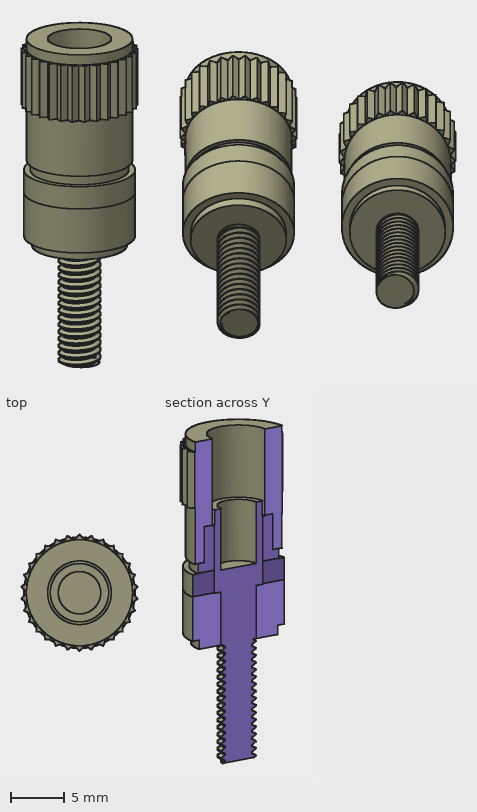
import cadquery as cq
import math


total_height = 32.0
thread_length = 11.6
spigot_height = 0.9
lower_rim_height = 4.35
upper_washer_height = 2.2
neck_height = 0.95
knurl_height = 5.5
knob_lip_height = 1.0

lower_washer_bottom = thread_length
lower_rim_bottom = lower_washer_bottom + spigot_height
washer_joint = lower_rim_bottom + lower_rim_height
neck_bottom = washer_joint + upper_washer_height
knob_bottom = neck_bottom + neck_height
knurl_top = total_height - knob_lip_height
knurl_bottom = knurl_top - knurl_height

knob_diameter = 10.0
knob_bore_diameter = 6.0
knurl_diameter = 11.0
neck_diameter = 9.3
insert_diameter = 7.8
washer_diameter = 10.5
spigot_diameter = 9.0
post_diameter = 5.5
socket_diameter = 4.0

knurl_teeth = 30

sleeve_height = 3.5
post_projection = 1.5
socket_depth = 6.0
insert_top = knob_bottom + sleeve_height
post_top = insert_top + post_projection

thread_diameter = 4.0
thread_root_diameter = 3.11
thread_pitch = 0.7
thread_crest_width = thread_pitch / 8
thread_flank_angle = 30.0
first_crest_height = 0.18
root_overlap = 0.05
thread_run_out = 2 * thread_pitch


def cylinder(diameter, bottom, top):
    return cq.Workplane("XY").workplane(offset=bottom).circle(diameter / 2).extrude(top - bottom)


def knurl_outline():
    """Star of alternating tooth tips and valleys."""
    half_pitch = math.pi / knurl_teeth
    points = []
    for index in range(2 * knurl_teeth):
        diameter = knob_diameter if index % 2 else knurl_diameter
        angle = math.pi / 2 + index * half_pitch
        points.append((diameter / 2 * math.cos(angle), diameter / 2 * math.sin(angle)))
    return points


def make_knob():
    knurl = cq.Workplane("XY").workplane(offset=knurl_bottom).polyline(knurl_outline()).close()
    knob = cylinder(knob_diameter, knob_bottom, total_height).union(knurl.extrude(knurl_height))
    knob = knob.cut(cylinder(knob_bore_diameter, knob_bottom, total_height))
    return knob.cut(cylinder(insert_diameter, knob_bottom, insert_top))


def make_insert():
    """Sleeve pressed into the knob, with its flange showing as the neck below it."""
    insert = cylinder(neck_diameter, neck_bottom, knob_bottom)
    insert = insert.union(cylinder(insert_diameter, knob_bottom, insert_top))
    return insert.cut(cylinder(post_diameter, neck_bottom, insert_top))


def make_upper_washer():
    washer = cylinder(washer_diameter, washer_joint, neck_bottom)
    return washer.cut(cylinder(post_diameter, washer_joint, neck_bottom))


def make_lower_washer():
    washer = cylinder(washer_diameter, lower_rim_bottom, washer_joint)
    washer = washer.union(cylinder(spigot_diameter, lower_washer_bottom, lower_rim_bottom))
    return washer.cut(cylinder(thread_diameter, lower_washer_bottom, washer_joint))


def make_thread():
    """Right-hand helical ridge on a core, trimmed flat at both ends of the threaded length."""
    crest_radius = thread_diameter / 2
    base_radius = thread_root_diameter / 2 - root_overlap
    crest_half = thread_crest_width / 2
    base_half = crest_half + (crest_radius - base_radius) * math.tan(math.radians(thread_flank_angle))

    start = first_crest_height - thread_run_out
    ridge_length = thread_length + 2 * thread_run_out
    helix = cq.Wire.makeHelix(thread_pitch, ridge_length, base_radius)
    ridge = (
        cq.Workplane("XZ")
        .moveTo(base_radius, -base_half)
        .lineTo(crest_radius, -crest_half)
        .lineTo(crest_radius, crest_half)
        .lineTo(base_radius, base_half)
        .close()
        .sweep(cq.Workplane(obj=helix), isFrenet=True)
        .rotate((0, 0, 0), (0, 0, 1), 180)
        .translate((0, 0, start))
    )
    core = cylinder(thread_root_diameter, -2 * thread_run_out, thread_length + 2 * thread_run_out)
    trim = cylinder(2 * thread_diameter, 0, thread_length)
    return core.union(ridge).intersect(trim)


def make_stud():
    """Threaded end, plain shank through the lower washer, and a post with a plug socket."""
    shank = cylinder(thread_diameter, thread_length, washer_joint)
    post = cylinder(post_diameter, washer_joint, post_top)
    socket = cylinder(socket_diameter, post_top - socket_depth, post_top)
    return shank.union(post).cut(socket).union(make_thread())


knob = make_knob()
insert = make_insert()
upper_washer = make_upper_washer()
lower_washer = make_lower_washer()
stud = make_stud()

bodies = [knob, insert, upper_washer, lower_washer, stud]
result = cq.Compound.makeCompound([body.solids().val() for body in bodies])